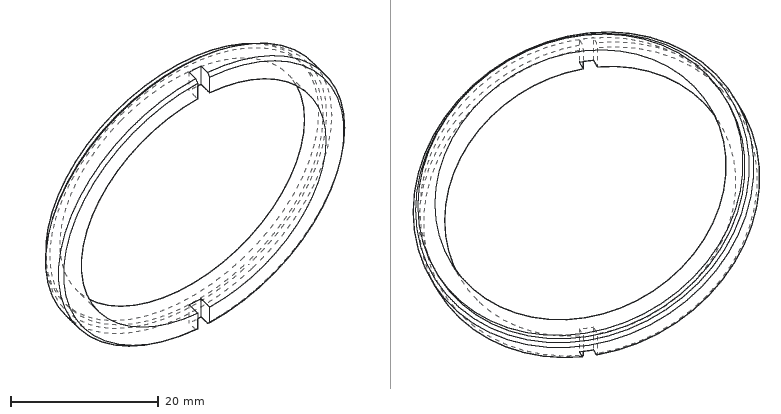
import cadquery as cq

outer_diameter = 48.0
spigot_diameter = 45.8
bore_diameter = 41.0
ring_width = 5.0
spigot_length = 1.0
edge_chamfer = 0.5

slot_width = 2.0
slot_depth = 2.0

spigot_end = -ring_width / 2
shoulder = spigot_end + spigot_length
slotted_face = ring_width / 2


def x_cylinder(diameter, x_start, x_end):
    """Solid cylinder along the X axis."""
    disc = cq.Workplane("YZ", origin=(x_start, 0, 0)).circle(diameter / 2)
    return disc.extrude(x_end - x_start)


def make_ring():
    """Chamfered rim plus spigot, bored through."""
    rim = x_cylinder(outer_diameter, shoulder, slotted_face).edges().chamfer(edge_chamfer)
    spigot = x_cylinder(spigot_diameter, spigot_end, slotted_face - edge_chamfer)
    bore = x_cylinder(bore_diameter, spigot_end, slotted_face)
    return rim.union(spigot).cut(bore)


def make_slots():
    """One bar across the full diameter that cuts both slots."""
    bar = cq.Workplane("XY").box(slot_depth, slot_width, outer_diameter)
    return bar.translate((slotted_face - slot_depth / 2, 0, 0))


result = make_ring().cut(make_slots())